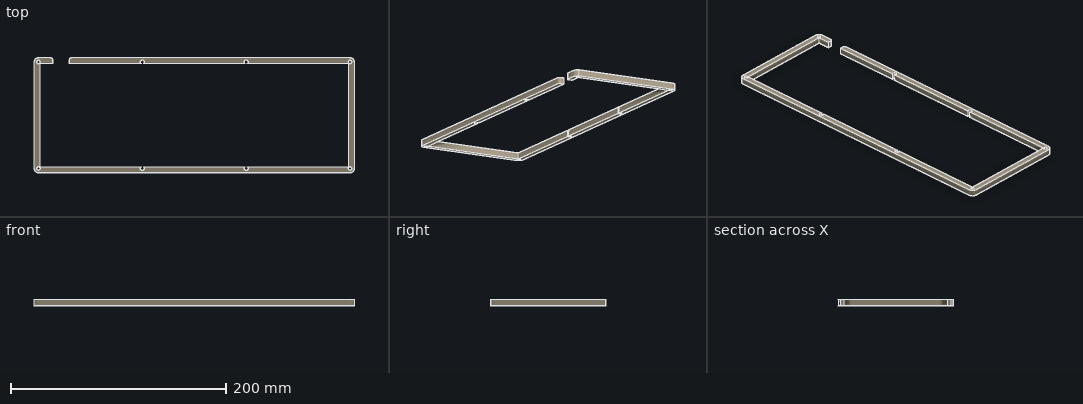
import cadquery as cq

length = 297.8
width = 107.2
height = 6.0
wall = 5.7
corner_radius = 4.5

gap_start = 17.5
gap_end = 32.8
end_radius = 2.5

corner_hole_diameter = 3.0
rail_hole_diameter = 3.5
hole_inset = 4.2
holes_per_rail = 4


def make_frame():
    """Rectangular ring with rounded outer corners and sharp inner corners."""
    outer = cq.Workplane("XY").rect(length, width).extrude(height).edges("|Z").fillet(corner_radius)
    inner = cq.Workplane("XY").rect(length - 2 * wall, width - 2 * wall).extrude(height)
    return outer.cut(inner)


def cut_gap(frame):
    """Open the back rail and round the outer corners of its two free ends."""
    left = -length / 2 + gap_start
    right = -length / 2 + gap_end
    back = width / 2
    gap = (
        cq.Workplane("XY")
        .center((left + right) / 2, back - wall / 2)
        .rect(right - left, wall)
        .extrude(height)
    )
    frame = frame.cut(gap)
    for x in (left, right):
        end_edge = cq.selectors.NearestToPointSelector((x, back, height / 2))
        frame = frame.edges("|Z").edges(end_edge).fillet(end_radius)
    return frame


def cut_holes(frame):
    """Drill the through holes; those between corners break through the inner wall."""
    spacing_x = (length - 2 * hole_inset) / (holes_per_rail - 1)
    for column in range(holes_per_rail):
        x = -length / 2 + hole_inset + column * spacing_x
        at_corner = column in (0, holes_per_rail - 1)
        diameter = corner_hole_diameter if at_corner else rail_hole_diameter
        for side in (-1, 1):
            y = side * (width / 2 - hole_inset)
            hole = cq.Workplane("XY").center(x, y).circle(diameter / 2).extrude(height)
            frame = frame.cut(hole)
    return frame


result = cut_holes(cut_gap(make_frame()))